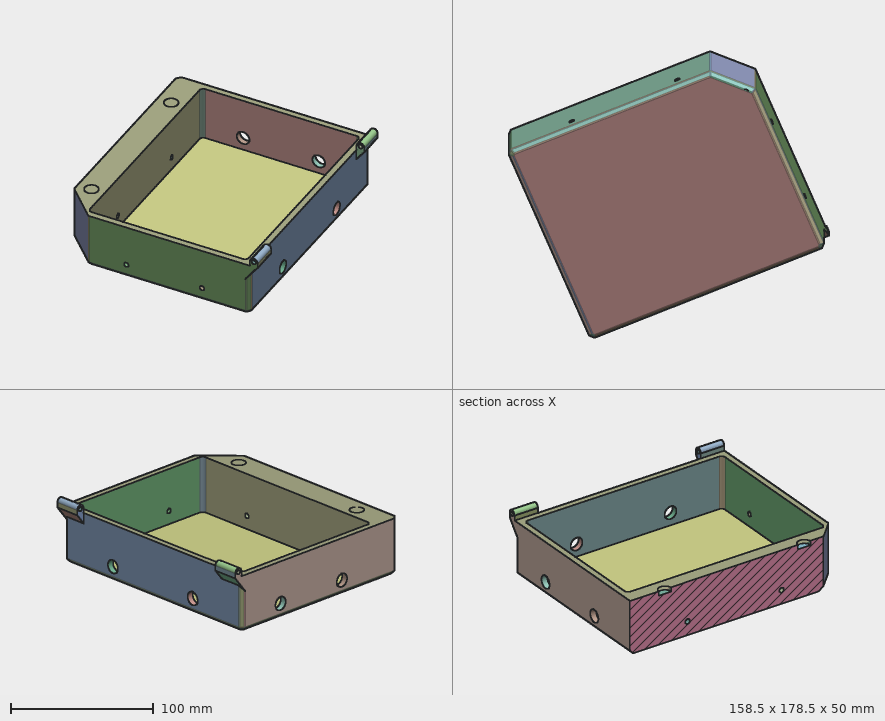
import cadquery as cq

total_length = 158.5
box_length = 152.3
box_width = 178.5
box_height = 43.0
total_height = 50.0

corner_chamfer = 3.0
front_corner_chamfer = 24.3
edge_blend_radius = 1.5

wall = 5.0
thick_wall = 21.5
floor = 1.0
cavity_corner_radius = 3.0
cavity_length = box_length - wall - thick_wall
cavity_width = box_width - 2 * wall
cavity_center_x = thick_wall + cavity_length / 2
center_y = box_width / 2

hole_height = 11.0
screw_hole_diameter = 3.5
access_hole_diameter = 10.0
hole_spacing_x = 60.0
hole_spacing_y = 80.0

magnet_diameter = 10.4
magnet_depth = 3.0
magnet_skin = 0.5
magnet_x = thick_wall / 2
magnet_spacing = 118.5

lug_width = 20.0
knuckle_radius = 3.0
pin_hole_diameter = 3.2
knuckle_x = total_length - knuckle_radius
knuckle_z = total_height - knuckle_radius
gusset_run = 12.5
gusset_drop = 16.0


def make_body():
    """Block with chamfered corners and bottom rim; every sharp edge below the top is blended."""
    body = cq.Workplane("XY").box(box_length, box_width, box_height, centered=False)
    body = body.edges("|Z and (not (<X and <Y))").chamfer(corner_chamfer)
    body = body.edges("|Z and <X and <Y").chamfer(front_corner_chamfer)
    body = body.faces("<Z").edges().chamfer(corner_chamfer)
    return body.edges("not >Z").fillet(edge_blend_radius)


def make_rod(start_y, diameter):
    """Round bar along the hinge axis, as long as one lug."""
    return (
        cq.Workplane("XZ", origin=(knuckle_x, start_y, knuckle_z))
        .circle(diameter / 2)
        .extrude(-lug_width)
    )


def make_lug(start_y):
    """Hinge lug running along Y: a knuckle on a web that slopes back into the wall."""
    web = (
        cq.Workplane("XZ", origin=(0, start_y, 0))
        .moveTo(total_length, knuckle_z)
        .lineTo(total_length, box_height)
        .lineTo(total_length - gusset_run, box_height - gusset_drop)
        .lineTo(total_length - gusset_run, box_height)
        .lineTo(box_length, box_height)
        .lineTo(box_length, knuckle_z)
        .close()
        .extrude(-lug_width)
    )
    knuckle = make_rod(start_y, 2 * knuckle_radius)
    return web.union(knuckle).cut(make_rod(start_y, pin_hole_diameter))


def make_cavity():
    """Pocket open at the top, with rounded upright corners."""
    return (
        cq.Workplane("XY", origin=(cavity_center_x, center_y, floor))
        .rect(cavity_length, cavity_width)
        .extrude(box_height - floor)
        .edges("|Z")
        .fillet(cavity_corner_radius)
    )


def make_bores_along_x(start_x, length, diameter):
    """Pair of bores running in +X from start_x."""
    return (
        cq.Workplane("YZ", origin=(start_x, center_y, hole_height))
        .pushPoints([(-hole_spacing_y / 2, 0), (hole_spacing_y / 2, 0)])
        .circle(diameter / 2)
        .extrude(length)
    )


def make_bores_along_y(start_y, length, diameter):
    """Pair of bores running in +Y from start_y."""
    return (
        cq.Workplane("XZ", origin=(cavity_center_x, start_y, hole_height))
        .pushPoints([(-hole_spacing_x / 2, 0), (hole_spacing_x / 2, 0)])
        .circle(diameter / 2)
        .extrude(-length)
    )


def make_magnet_chambers():
    """Pair of round voids roofed by a thin skin."""
    top = box_height - magnet_skin
    return (
        cq.Workplane("XY", origin=(magnet_x, center_y, top))
        .pushPoints([(0, -magnet_spacing / 2), (0, magnet_spacing / 2)])
        .circle(magnet_diameter / 2)
        .extrude(-magnet_depth)
    )


result = make_body()
for lug_start in (0, box_width - lug_width):
    result = result.union(make_lug(lug_start))
result = result.cut(make_cavity())
result = result.cut(make_bores_along_x(0, thick_wall, screw_hole_diameter))
result = result.cut(make_bores_along_y(0, wall, screw_hole_diameter))
result = result.cut(make_bores_along_x(box_length - wall, wall, access_hole_diameter))
result = result.cut(make_bores_along_y(box_width - wall, wall, access_hole_diameter))
result = result.cut(make_magnet_chambers())